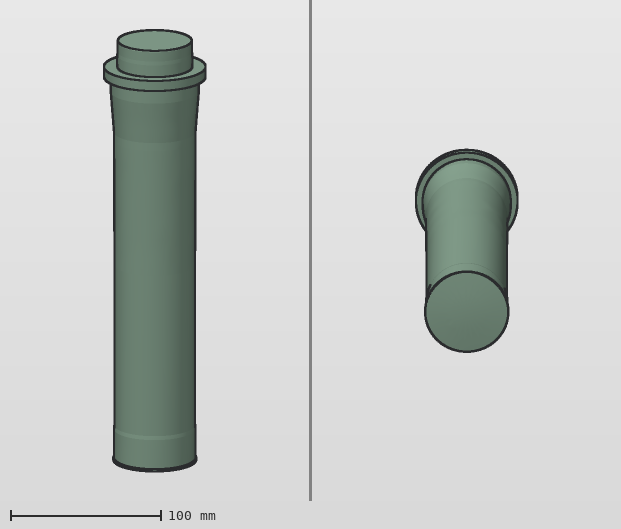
import cadquery as cq
import math

total_height = 293.0

lip_diameter = 55.7
lip_bead_radius = 1.0
barrel_diameter = 54.0
collar_diameter = 54.5
shoulder_diameter = 59.0
flange_diameter = 68.0

dome_height = 1.5
lower_step_bottom = 23.0
lower_step_top = 25.8
taper_bottom = 137.0
taper_top = 223.8
shoulder_cone_bottom = 229.5
shoulder_cone_top = 257.5
flange_bottom = 267.8
flange_top = 274.8

plug_diameter = 50.0
plug_head_diameter = 49.8
plug_step_bottom = 282.7
plug_step_top = 285.5
plug_chamfer_height = 1.2
plug_chamfer_width = 0.3


def make_barrel():
    """Flanged barrel with a conical shoulder, a rounded bottom lip and a domed base."""
    lip_radius = lip_diameter / 2
    barrel_radius = barrel_diameter / 2
    collar_radius = collar_diameter / 2
    shoulder_radius = shoulder_diameter / 2
    flange_radius = flange_diameter / 2
    bead_center_radius = lip_radius - lip_bead_radius
    bead_center_height = dome_height + lip_bead_radius
    bead_rise = math.sqrt(lip_bead_radius**2 - (collar_radius - bead_center_radius) ** 2)
    dome_radius = (bead_center_radius**2 + dome_height**2) / (2 * dome_height)
    dome_mid_radius = bead_center_radius / 2
    dome_mid_height = dome_radius - math.sqrt(dome_radius**2 - dome_mid_radius**2)
    return (
        cq.Workplane("XZ")
        .moveTo(0, 0)
        .threePointArc((dome_mid_radius, dome_mid_height), (bead_center_radius, dome_height))
        .threePointArc((lip_radius, bead_center_height), (collar_radius, bead_center_height + bead_rise))
        .lineTo(collar_radius, lower_step_bottom)
        .lineTo(barrel_radius, lower_step_top)
        .lineTo(barrel_radius, taper_bottom)
        .lineTo(collar_radius, taper_top)
        .lineTo(collar_radius, shoulder_cone_bottom)
        .lineTo(shoulder_radius, shoulder_cone_top)
        .lineTo(shoulder_radius, flange_bottom)
        .lineTo(flange_radius, flange_bottom)
        .lineTo(flange_radius, flange_top)
        .lineTo(0, flange_top)
        .close()
        .revolve(360, (0, 0), (0, 1))
    )


def make_plug():
    """Round plug with a slightly narrower head and a chamfered top edge."""
    plug_radius = plug_diameter / 2
    head_radius = plug_head_diameter / 2
    return (
        cq.Workplane("XZ")
        .moveTo(0, flange_top)
        .lineTo(plug_radius, flange_top)
        .lineTo(plug_radius, plug_step_bottom)
        .lineTo(head_radius, plug_step_top)
        .lineTo(head_radius, total_height - plug_chamfer_height)
        .lineTo(head_radius - plug_chamfer_width, total_height)
        .lineTo(0, total_height)
        .close()
        .revolve(360, (0, 0), (0, 1))
    )


barrel = make_barrel()
plug = make_plug()

result = cq.Compound.makeCompound([barrel.val(), plug.val()])